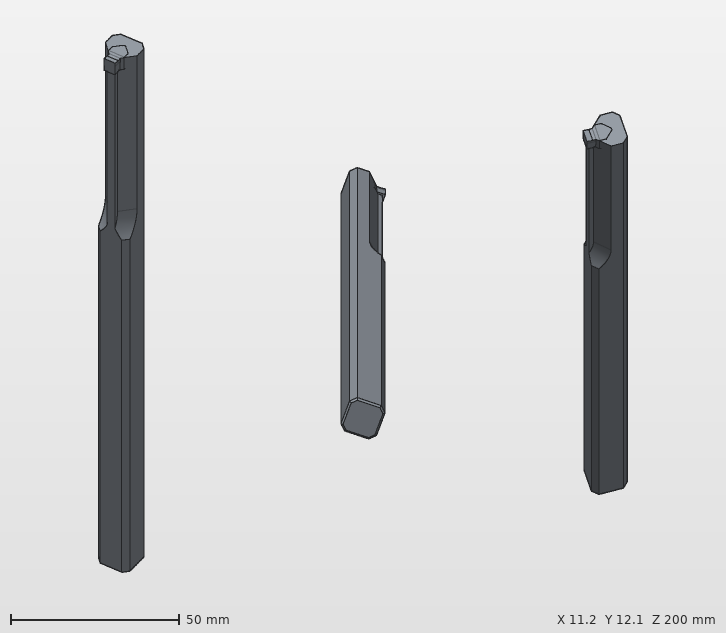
import cadquery as cq
import math

length = 200
width = 11.2
corner_chamfer = 1.8
foot_chamfer = 0.6
half_width = width / 2

relief_bottom = 140
runout_radius = 17.0
rib_half_width = 1.5

insert_height = 4.6
tail_half_width = 2.8
tail_shoulder_y = -0.6
tail_tip_radius = 0.8
nose_half_width = 2
nose_front_y = -6.5
side_land = 1.2
nose_side_relief = 0.1

chip_start_y = -2.6
chip_bend_y = -3.6
chip_bend_drop = 0.1
chip_valley_y = -4.6
chip_valley_drop = 0.3

clearance = 20


def make_bar():
    bar = cq.Workplane("XY").rect(width, width).extrude(length)
    bar = bar.edges("|Z").chamfer(corner_chamfer)
    return bar.faces("<Z").chamfer(foot_chamfer)


def make_relief(side):
    """Cutter for one front corner; side is -1 for -X and +1 for +X."""
    floor_plane = cq.Plane(
        origin=(side * half_width, 0, relief_bottom),
        xDir=(side, -1, 0),
        normal=(-1, -side, 0),
    )
    top = length - relief_bottom + clearance
    runout_mid = runout_radius * math.sqrt(0.5)
    floor_cut = (
        cq.Workplane(floor_plane)
        .moveTo(0, top)
        .lineTo(0, 0)
        .threePointArc(
            (runout_radius - runout_mid, -runout_mid),
            (runout_radius, -runout_radius),
        )
        .lineTo(runout_radius, top)
        .close()
        .extrude(clearance, both=True)
    )
    beside_rib = (
        cq.Workplane("XY")
        .box(clearance, 2 * clearance, 2 * length, centered=(False, True, True))
        .translate((rib_half_width, 0, length))
    )
    if side < 0:
        beside_rib = beside_rib.mirror("YZ")
    return floor_cut.intersect(beside_rib)


def make_tail_envelope():
    """Block with a rounded 90 degree point, let into the top of the shank."""
    outline = [
        (-tail_half_width, nose_front_y),
        (-tail_half_width, tail_shoulder_y),
        (0, tail_shoulder_y + tail_half_width),
        (tail_half_width, tail_shoulder_y),
        (tail_half_width, nose_front_y),
    ]
    block = (
        cq.Workplane("XY", origin=(0, 0, length - insert_height))
        .polyline(outline)
        .close()
        .extrude(insert_height)
    )
    return block.edges("|Z and >Y").fillet(tail_tip_radius)


def make_nose():
    """Block ahead of the tail, slightly tapered below its side lands."""
    foot_half_width = nose_half_width - nose_side_relief
    land_bottom = length - side_land
    foot = length - insert_height
    outline = [
        (-foot_half_width, foot),
        (foot_half_width, foot),
        (nose_half_width, land_bottom),
        (nose_half_width, length),
        (-nose_half_width, length),
        (-nose_half_width, land_bottom),
    ]
    return (
        cq.Workplane("XZ", origin=(0, chip_start_y, 0))
        .polyline(outline)
        .close()
        .extrude(chip_start_y - nose_front_y)
    )


def make_chip_breaker():
    outline = [
        (chip_start_y, length),
        (chip_bend_y, length - chip_bend_drop),
        (chip_valley_y, length - chip_valley_drop),
        (nose_front_y, length),
    ]
    return cq.Workplane("YZ").polyline(outline).close().extrude(clearance, both=True)


blank = make_bar()
for side in (-1, 1):
    blank = blank.cut(make_relief(side))

chip_breaker = make_chip_breaker()
insert_blank = blank.intersect(make_tail_envelope()).union(make_nose())

shank = blank.cut(insert_blank).cut(chip_breaker)
insert = insert_blank.cut(chip_breaker)

result = cq.Compound.makeCompound([shank.val(), insert.val()])